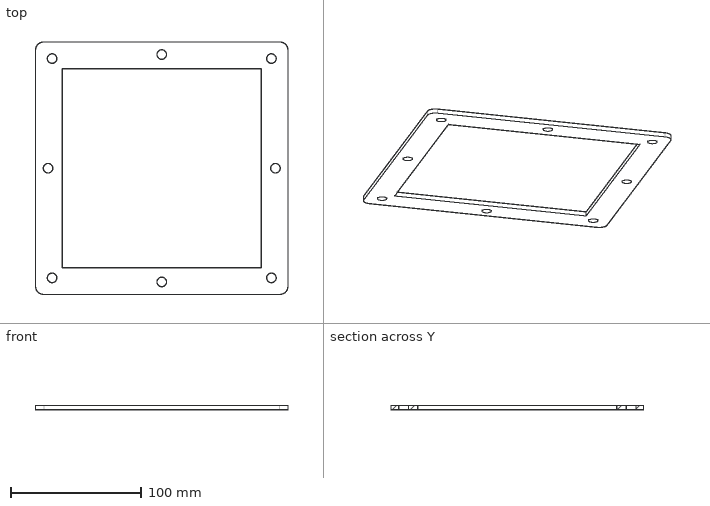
import cadquery as cq

outer_side = 193.8
thickness = 3.5
window_side = 152.5
corner_radius = 6.4

hole_diameter = 7.2
corner_hole_offset = 84.1
side_hole_offset = 87.2

corner_hole_centers = [
    (x_sign * corner_hole_offset, y_sign * corner_hole_offset)
    for x_sign in (-1, 1)
    for y_sign in (-1, 1)
]
side_hole_centers = [
    (side_hole_offset, 0),
    (-side_hole_offset, 0),
    (0, side_hole_offset),
    (0, -side_hole_offset),
]

plate = (
    cq.Workplane("XY")
    .rect(outer_side, outer_side)
    .extrude(thickness)
    .edges("|Z")
    .fillet(corner_radius)
)

window = cq.Workplane("XY").rect(window_side, window_side).extrude(thickness)

holes = (
    cq.Workplane("XY")
    .pushPoints(corner_hole_centers + side_hole_centers)
    .circle(hole_diameter / 2)
    .extrude(thickness)
)

result = plate.cut(window).cut(holes)